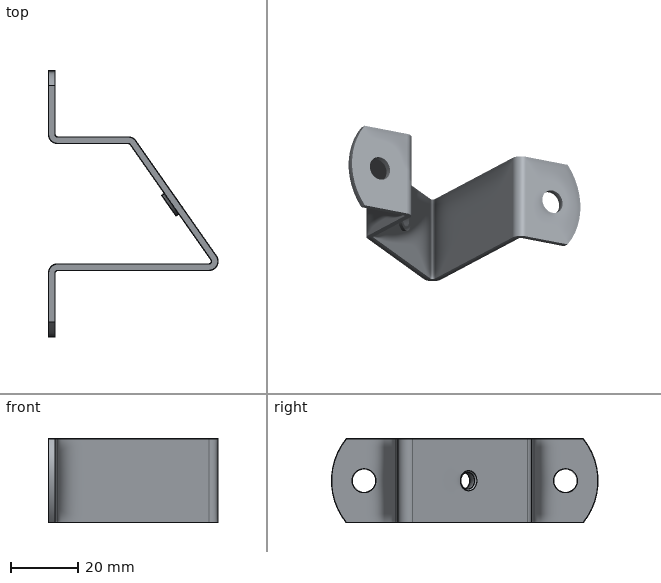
import cadquery as cq
import math

WIDTH = 25.0
THICKNESS = 2.0
INNER_RADIUS = 0.75
OUTER_RADIUS = INNER_RADIUS + THICKNESS

LENGTH = 79.4
DEPTH = 50.52
LEG_SPAN = 39.8
SLOPE_ANGLE = 55.0

END_RADIUS = 19.85
HOLE_SPACING = 60.0
HOLE_DIAMETER = 7.0

COLLAR_DIAMETER = 7.5
COLLAR_HEIGHT = 1.0
COLLAR_BORE = 5.0
BORE_CHAMFER = 0.5
COLLAR_Y = 0.0

flange_bend_y = LEG_SPAN / 2 - THICKNESS + OUTER_RADIUS
web_bend_y = LEG_SPAN / 2 - OUTER_RADIUS
sharp_bend_x = DEPTH - OUTER_RADIUS
open_bend_x = sharp_bend_x - 2 * web_bend_y / math.tan(math.radians(SLOPE_ANGLE))
web_normal_angle = 90.0 - SLOPE_ANGLE

BENDS = [
    ((OUTER_RADIUS, flange_bend_y), 180.0, 270.0),
    ((open_bend_x, web_bend_y), 90.0, web_normal_angle),
    ((sharp_bend_x, -web_bend_y), web_normal_angle, -90.0),
    ((OUTER_RADIUS, -flange_bend_y), 90.0, 180.0),
]


def polar_point(centre, radius, degrees):
    angle = math.radians(degrees)
    return (centre[0] + radius * math.cos(angle), centre[1] + radius * math.sin(angle))


def add_bend_arc(outline, centre, radius, start, end):
    """Draw a straight run up to the bend, then its arc."""
    middle = polar_point(centre, radius, (start + end) / 2)
    return outline.lineTo(*polar_point(centre, radius, start)).threePointArc(
        middle, polar_point(centre, radius, end)
    )


def make_strip():
    """Bent strip with square ends, centred on Z = 0."""
    outline = cq.Workplane("XY").moveTo(THICKNESS, LENGTH / 2)
    for centre, start, end in BENDS:
        radius = INNER_RADIUS if end > start else OUTER_RADIUS
        outline = add_bend_arc(outline, centre, radius, start, end)
    outline = outline.lineTo(THICKNESS, -LENGTH / 2).lineTo(0, -LENGTH / 2)
    for centre, start, end in reversed(BENDS):
        radius = OUTER_RADIUS if end > start else INNER_RADIUS
        outline = add_bend_arc(outline, centre, radius, end, start)
    return outline.lineTo(0, LENGTH / 2).close().extrude(WIDTH / 2, both=True)


def make_end_envelope():
    """Elevation of the bracket with arched ends, extruded through its full depth."""
    half_width = WIDTH / 2
    half_length = LENGTH / 2
    arch_rise = END_RADIUS - math.sqrt(END_RADIUS**2 - half_width**2)
    corner_y = half_length - arch_rise
    return (
        cq.Workplane("YZ")
        .moveTo(-corner_y, -half_width)
        .lineTo(corner_y, -half_width)
        .threePointArc((half_length, 0), (corner_y, half_width))
        .lineTo(-corner_y, half_width)
        .threePointArc((-half_length, 0), (-corner_y, -half_width))
        .close()
        .extrude(DEPTH)
    )


def make_flange_holes():
    return (
        cq.Workplane("YZ")
        .pushPoints([(-HOLE_SPACING / 2, 0), (HOLE_SPACING / 2, 0)])
        .circle(HOLE_DIAMETER / 2)
        .extrude(THICKNESS)
    )


def add_collar(body):
    """Add the collar to the inner face of the web and bore through both, with a lead-in."""
    slope = math.radians(SLOPE_ANGLE)
    face_start = polar_point((open_bend_x, web_bend_y), INNER_RADIUS, web_normal_angle)
    collar_x = face_start[0] + (face_start[1] - COLLAR_Y) / math.tan(slope)
    inward = cq.Vector(-math.sin(slope), -math.cos(slope), 0)
    seat = cq.Workplane(cq.Plane((collar_x, COLLAR_Y, 0), (0, 0, 1), inward))
    collar = seat.circle(COLLAR_DIAMETER / 2).extrude(COLLAR_HEIGHT)
    bore_radius = COLLAR_BORE / 2
    bore = (
        seat.workplane(offset=-THICKNESS)
        .circle(bore_radius)
        .extrude(THICKNESS + COLLAR_HEIGHT)
    )
    lead_in = (
        seat.workplane(offset=-THICKNESS)
        .circle(bore_radius + BORE_CHAMFER)
        .workplane(offset=BORE_CHAMFER)
        .circle(bore_radius)
        .loft(ruled=True)
    )
    return body.union(collar).cut(bore).cut(lead_in)


bracket = make_strip().intersect(make_end_envelope()).cut(make_flange_holes())
result = add_collar(bracket)